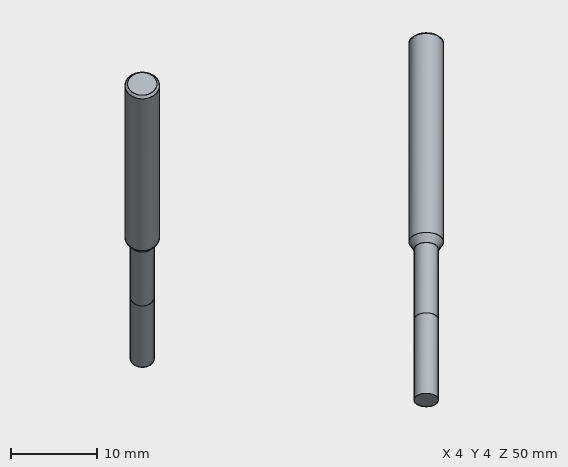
import cadquery as cq

total_length = 50.0
shank_radius = 2.0
end_chamfer = 0.3

stem_radius = 1.4
head_length = 11.2

cone_bottom = 21.0
cone_height = 1.0
cone_top = cone_bottom + cone_height


def make_holder():
    """Neck, cone and chamfered shank, turned as one piece above the head."""
    half_profile = [
        (0, head_length),
        (stem_radius, head_length),
        (stem_radius, cone_bottom),
        (shank_radius, cone_top),
        (shank_radius, total_length - end_chamfer),
        (shank_radius - end_chamfer, total_length),
        (0, total_length),
    ]
    return cq.Workplane("XZ").polyline(half_profile).close().revolve(360, (0, 0), (0, 1))


def make_cutting_head():
    """Plain cylinder that meets the lower end of the neck."""
    return cq.Workplane("XY").circle(stem_radius).extrude(head_length)


holder = make_holder()
cutting_head = make_cutting_head()

result = cq.Compound.makeCompound([holder.val(), cutting_head.val()])